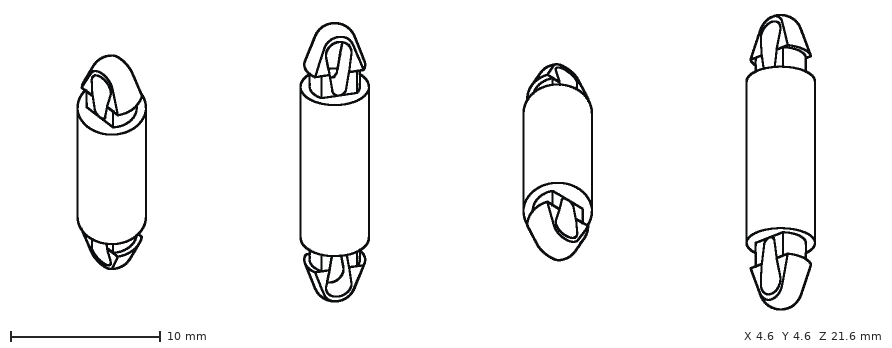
import cadquery as cq
import math

total_height = 21.6
body_diameter = 4.6
body_height = 12.0

clip_height = (total_height - body_height) / 2
barb_height = 3.05
neck_height = clip_height - barb_height
neck_radius = 1.68
barb_radius = 2.05
dome_radius = 1.45
neck_thickness = 2.3
barb_base_thickness = 2.33
barb_tip_thickness = 1.7

slot_top_radius = 0.89
slot_bottom_radius = 0.48
slot_top_wall = 0.7


def make_neck():
    """Round neck trimmed by two flats parallel to XZ."""
    flats = cq.Workplane("XY").box(
        2 * neck_radius, neck_thickness, neck_height, centered=(True, True, False)
    )
    return cq.Workplane("XY").circle(neck_radius).extrude(neck_height).intersect(flats)


def make_barb():
    """Cone running tangentially into a dome, trimmed by two tapered flats."""
    dome_centre = clip_height - dome_radius
    rim_drop = dome_centre - neck_height
    rim_distance = math.hypot(barb_radius, rim_drop)
    tangent_angle = math.acos(dome_radius / rim_distance) - math.atan2(rim_drop, barb_radius)
    arc_angle = (tangent_angle + math.pi / 2) / 2

    def dome_point(angle):
        return (dome_radius * math.cos(angle), dome_centre + dome_radius * math.sin(angle))

    revolved = (
        cq.Workplane("XZ")
        .moveTo(0, neck_height)
        .lineTo(barb_radius, neck_height)
        .lineTo(*dome_point(tangent_angle))
        .threePointArc(dome_point(arc_angle), (0, clip_height))
        .close()
        .revolve(360, (0, 0, 0), (0, 1, 0))
    )
    tapered_flats = (
        cq.Workplane("YZ")
        .polyline([
            (-barb_base_thickness / 2, neck_height),
            (barb_base_thickness / 2, neck_height),
            (barb_tip_thickness / 2, clip_height),
            (-barb_tip_thickness / 2, clip_height),
        ])
        .close()
        .extrude(barb_radius, both=True)
    )
    return revolved.intersect(tapered_flats)


def make_slot():
    """Two round ends joined by their common tangents; the lower end touches the body."""
    top_centre = clip_height - slot_top_wall - slot_top_radius
    bottom_centre = slot_bottom_radius
    side_angle = math.asin((slot_top_radius - slot_bottom_radius) / (top_centre - bottom_centre))
    across = math.cos(side_angle)
    drop = math.sin(side_angle)
    top_x = slot_top_radius * across
    top_z = top_centre - slot_top_radius * drop
    bottom_x = slot_bottom_radius * across
    bottom_z = bottom_centre - slot_bottom_radius * drop
    return (
        cq.Workplane("XZ")
        .moveTo(-bottom_x, bottom_z)
        .threePointArc((0, 0), (bottom_x, bottom_z))
        .lineTo(top_x, top_z)
        .threePointArc((0, top_centre + slot_top_radius), (-top_x, top_z))
        .close()
        .extrude(body_diameter, both=True)
    )


clip = make_neck().union(make_barb()).cut(make_slot())
upper_clip = clip.translate((0, 0, body_height / 2))
lower_clip = upper_clip.mirror("XY")

body = cq.Workplane("XY").cylinder(body_height, body_diameter / 2)
result = body.union(upper_clip).union(lower_clip)